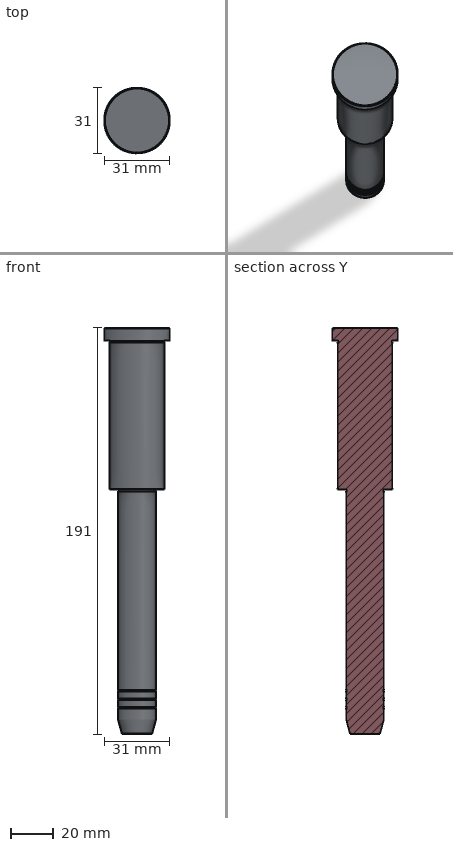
import cadquery as cq
import math

total_length = 191.0

head_diameter = 31.0
head_height = 6.0
head_chamfer = 0.5

body_diameter = 26.0
body_length = 70.0
body_chamfer = 0.5
relief_width = 1.0
relief_depth = 0.4
relief_floor = 0.2

shank_diameter = 18.0
neck_width = 1.0
neck_depth = 0.3

groove_count = 3
groove_pitch = 4.0
groove_width = 1.0
groove_depth = 0.4
groove_floor = 0.2
lowest_groove_center = 12.5

tip_length = 7.0
tip_half_angle = 15.0
tip_chamfer = 0.5

head_base = total_length - head_height
body_base = head_base - body_length
tip_diameter = shank_diameter - 2 * tip_length * math.tan(math.radians(tip_half_angle))


def cylinder(diameter, bottom, height):
    """Solid cylinder on the Z axis."""
    return cq.Workplane("XY").workplane(offset=bottom).circle(diameter / 2).extrude(height)


def groove_cutter(diameter, center, width, depth, floor):
    """Trapezoidal ring, `width` wide at the surface and `floor` wide at the bottom."""
    surface_radius = diameter / 2
    floor_radius = surface_radius - depth
    return (
        cq.Workplane("XZ")
        .moveTo(surface_radius, center - width / 2)
        .lineTo(floor_radius, center - floor / 2)
        .lineTo(floor_radius, center + floor / 2)
        .lineTo(surface_radius, center + width / 2)
        .close()
        .revolve(360, (0, 0), (0, 1))
    )


def make_head():
    head = cylinder(head_diameter, head_base, head_height)
    return head.faces(">Z").edges().chamfer(head_chamfer)


def make_body():
    body = cylinder(body_diameter, body_base, body_length)
    body = body.faces("<Z").edges().chamfer(body_chamfer)
    relief_center = head_base - relief_width / 2
    return body.cut(groove_cutter(body_diameter, relief_center, relief_width, relief_depth, relief_floor))


def make_shank():
    shank = cylinder(shank_diameter, tip_length, body_base - tip_length)
    neck_center = body_base - neck_width / 2
    shank = shank.cut(groove_cutter(shank_diameter, neck_center, neck_width, neck_depth, neck_width))
    for index in range(groove_count):
        center = lowest_groove_center + index * groove_pitch
        shank = shank.cut(groove_cutter(shank_diameter, center, groove_width, groove_depth, groove_floor))
    return shank


def make_tip():
    tip = (
        cq.Workplane("XY")
        .circle(tip_diameter / 2)
        .workplane(offset=tip_length)
        .circle(shank_diameter / 2)
        .loft(combine=True)
    )
    return tip.faces("<Z").edges().chamfer(tip_chamfer)


result = make_head().union(make_body()).union(make_shank()).union(make_tip())